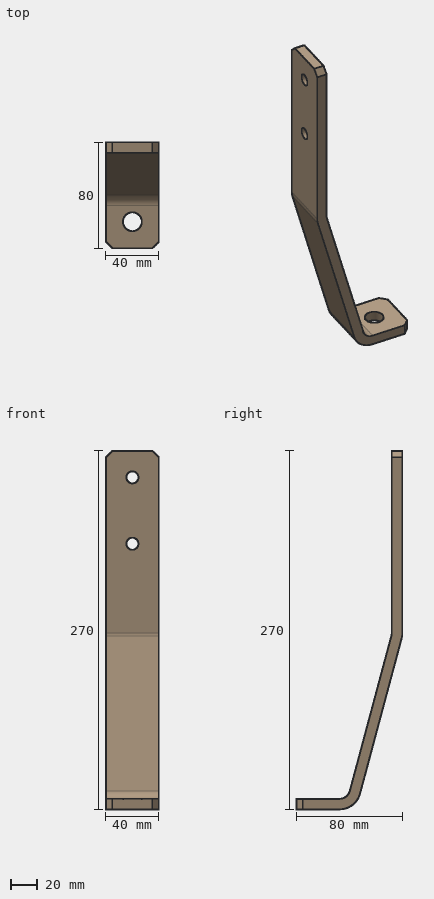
import cadquery as cq
import math

width = 40.0
depth = 80.0
height = 270.0
thickness = 8.0
inner_radius = 8.0
outer_radius = inner_radius + thickness
lean_angle = 15.0
foot_flat = 32.5
corner_chamfer = 4.9

foot_hole_diameter = 14.0
plate_hole_diameter = 9.0
end_distance = 20.0
plate_hole_pitch = 50.0

lean = math.radians(lean_angle)
foot_half_turn = (math.pi / 2 - lean) / 2
plate_half_turn = lean / 2
inner_foot_y = foot_flat + inner_radius * math.tan(foot_half_turn)
outer_foot_y = inner_foot_y + thickness * math.tan(foot_half_turn)
plate_front_y = depth - thickness
inner_plate_z = thickness + (plate_front_y - inner_foot_y) / math.tan(lean)
outer_plate_z = inner_plate_z - thickness * math.tan(plate_half_turn)


def bent_bar():
    """Side profile with sharp bends, extruded across the width and rounded."""
    inner_corners = [(inner_foot_y, thickness), (plate_front_y, inner_plate_z)]
    outer_corners = [(outer_foot_y, 0), (depth, outer_plate_z)]
    bar = (
        cq.Workplane("YZ")
        .moveTo(0, 0)
        .lineTo(*outer_corners[0])
        .lineTo(*outer_corners[1])
        .lineTo(depth, height)
        .lineTo(plate_front_y, height)
        .lineTo(*inner_corners[1])
        .lineTo(*inner_corners[0])
        .lineTo(0, thickness)
        .close()
        .extrude(width / 2, both=True)
    )
    for corners, radius in ((inner_corners, inner_radius), (outer_corners, outer_radius)):
        for y, z in corners:
            bend_edge = cq.selectors.NearestToPointSelector((0, y, z))
            bar = bar.edges(bend_edge).fillet(radius)
    return bar


def chamfer_ends(bar):
    """Clip the two corners at the foot end and at the top of the plate."""
    bar = bar.faces("<Y").edges("|Z").chamfer(corner_chamfer)
    return bar.faces(">Z").edges("|Y").chamfer(corner_chamfer)


def foot_hole():
    return (
        cq.Workplane("XY")
        .center(0, end_distance)
        .circle(foot_hole_diameter / 2)
        .extrude(thickness)
    )


def plate_holes():
    upper_z = height - end_distance
    return (
        cq.Workplane("XZ", origin=(0, depth, 0))
        .pushPoints([(0, upper_z), (0, upper_z - plate_hole_pitch)])
        .circle(plate_hole_diameter / 2)
        .extrude(thickness)
    )


result = chamfer_ends(bent_bar()).cut(foot_hole()).cut(plate_holes())